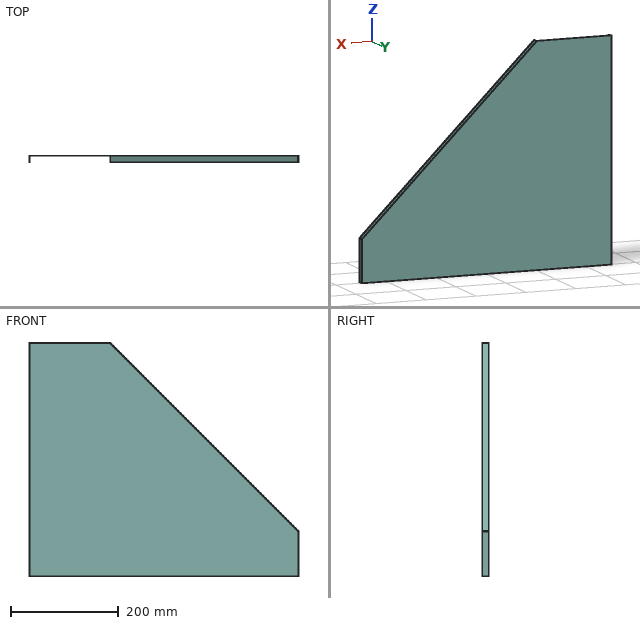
import cadquery as cq
import math

length = 500.0
height = 434.5
flange_depth = 12.5
sheet = 0.5
top_edge_length = 149.0
slope_angle = 45.0
end_setback = 1.0

slope = math.radians(slope_angle)
tip_x = top_edge_length + sheet * math.sin(slope)
top_edge_height = height - sheet * math.cos(slope)
slope_run = length - tip_x
slope_length = slope_run / math.cos(slope)
right_edge_height = height - slope_run * math.tan(slope)


def make_plate():
    """Flat web in the XZ plane, with its back face at Y = flange_depth."""
    return (
        cq.Workplane("XZ", origin=(0, flange_depth, 0))
        .moveTo(0, 0)
        .lineTo(length, 0)
        .lineTo(length, right_edge_height)
        .lineTo(tip_x, height)
        .lineTo(top_edge_length, top_edge_height)
        .lineTo(0, top_edge_height)
        .close()
        .extrude(sheet)
    )


def make_side_flange(x_start, edge_height):
    """Upright flange running from the bottom edge, short of the upper corner."""
    flange = cq.Workplane("XY").box(sheet, flange_depth, edge_height - end_setback, centered=False)
    return flange.translate((x_start, 0, 0))


def make_slope_flange():
    """Flange flush with the sloping edge, with square ends short of both corners."""
    flange_length = slope_length - 2 * end_setback
    flange = cq.Workplane("XY").box(flange_length, flange_depth, sheet, centered=False)
    flange = flange.translate((end_setback, 0, -sheet))
    flange = flange.rotate((0, 0, 0), (0, 1, 0), slope_angle)
    return flange.translate((tip_x, 0, height))


left_flange = make_side_flange(0, top_edge_height)
right_flange = make_side_flange(length - sheet, right_edge_height)

result = make_plate().union(left_flange).union(right_flange).union(make_slope_flange())